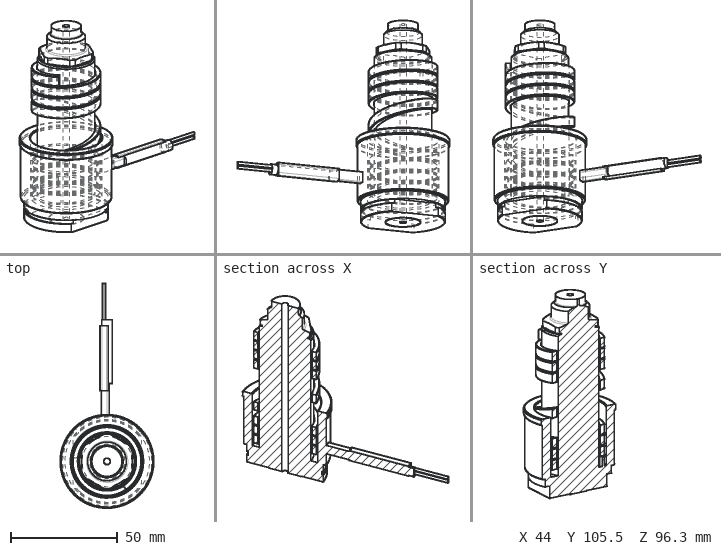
import cadquery as cq
import math


foot_radius, foot_height = 8.2, 0.2
base_radius, base_top = 19.8, 4.4
base_chamfer = 0.3
groove_radius, groove_top = 19.1, 6.3
flat_distance = 16.0

collar_radius = base_radius
cup_bottom, cup_radius, cup_chamfer = 10.1, 21.4, 0.5
rim_bottom, rim_top = 37.1, 40.4
rim_radius = 44.0 / 2
rim_chamfer = 0.5
bore_radius, bore_floor, bore_chamfer = 16.8, 10.8, 0.4

barrel_radius, barrel_top, barrel_chamfer = 13.5, 80.5, 0.7
neck_radius = 11.8
hex_bottom, hex_top = 80.8, 83.9
hex_across_flats, hex_corner_radius = 23.6, 13.0
shoulder_radius, shoulder_bottom, shoulder_top = 9.1, 84.8, 91.0
shoulder_fillet = 0.6
nose_radius, nose_cone_radius = 7.1, 7.6
nose_fillet = 0.5
nose_cone_top, total_height = 92.5, 96.3
through_hole_radius = 1.5

spring_outer_radius = 16.2
spring_inner_radius = 13.8
strip_height, strip_chamfer = 5.0, 0.3
closed_pitch, open_pitch = 5.4, 26.4
closed_turns = 3 + 13 / 360
transition_turns = 117 / 360
open_turns = 0.7
total_turns = 2 * (closed_turns + transition_turns) + open_turns
spring_end_angle, spring_end_height = -56.0, 74.4
steps_per_turn = 24

cable_height = 19.4
cable_x = -1.4
cable_width, cable_depth, cable_fillet = 2.7, 5.1, 0.3
second_cable_x, second_cable_fillet = -0.2, 1.2
sleeve_width, sleeve_depth, sleeve_fillet = 4.0, 6.0, 1.0
sleeve_start, sleeve_end = 33.2, 63.6
tube_radius, tube_start, tube_end = 2.5, 36.5, 66.5
wire_radius, wire_spacing = 0.7, 2.0
overall_length = 105.5
wire_end = overall_length - rim_radius


def disc(radius, bottom, top):
    return cq.Workplane("XY").workplane(offset=bottom).circle(radius).extrude(top - bottom)


def make_base():
    base = disc(base_radius, foot_height, base_top).faces("<Z").chamfer(base_chamfer)
    base = base.union(disc(groove_radius, base_top, groove_top))
    flats = cq.Workplane("XY").box(2 * flat_distance, 2 * base_radius, groove_top, (True, True, False))
    return base.intersect(flats).union(disc(foot_radius, 0, foot_height))


def make_cup():
    cup = disc(cup_radius, cup_bottom, rim_bottom).faces("<Z").chamfer(cup_chamfer)
    rim = disc(rim_radius, rim_bottom, rim_top).edges().chamfer(rim_chamfer)
    collar = disc(collar_radius, groove_top, cup_bottom)
    cup = cup.union(rim).union(collar).cut(disc(bore_radius, bore_floor, rim_top))
    bore_mouth = cq.Workplane("XY", origin=(0, 0, rim_top)).circle(bore_radius + bore_chamfer)
    return cup.cut(bore_mouth.extrude(-bore_chamfer, taper=45))


def make_barrel():
    barrel = disc(barrel_radius, bore_floor, barrel_top).faces(">Z").chamfer(barrel_chamfer)
    return barrel.union(disc(neck_radius, barrel_top, hex_bottom))


def make_nose():
    """Turned head whose lowest collar is trimmed to a hexagon with rounded corners."""
    fillet_root_radius = shoulder_radius + shoulder_fillet
    head = (
        cq.Workplane("XZ")
        .moveTo(0, hex_bottom)
        .lineTo(hex_corner_radius, hex_bottom)
        .lineTo(hex_corner_radius, hex_top)
        .lineTo(fillet_root_radius, shoulder_bottom)
        .radiusArc((shoulder_radius, shoulder_bottom + shoulder_fillet), shoulder_fillet)
        .lineTo(shoulder_radius, shoulder_top)
        .lineTo(nose_cone_radius, nose_cone_top)
        .radiusArc((nose_radius, nose_cone_top + nose_fillet), nose_fillet)
        .lineTo(nose_radius, total_height)
        .lineTo(0, total_height)
        .close()
        .revolve()
    )
    hexagon = (
        cq.Workplane("XY")
        .workplane(offset=hex_bottom)
        .polygon(6, hex_across_flats, circumscribed=True)
        .extrude(total_height - hex_bottom)
    )
    return head.intersect(hexagon)


def half_drop(turns):
    """Descent over the closed, transition and open coils of the upper half of the spring."""
    into_transition = min(max(turns - closed_turns, 0), transition_turns)
    into_open = max(turns - closed_turns - transition_turns, 0)
    pitch_slope = (open_pitch - closed_pitch) / transition_turns
    drop = closed_pitch * (min(turns, closed_turns) + into_transition)
    drop += pitch_slope * into_transition**2 / 2
    return drop + open_pitch * into_open


def spring_drop(turns):
    """Descent from the upper end; the lower half repeats the upper half upside down."""
    if turns <= total_turns / 2:
        return half_drop(turns)
    return 2 * half_drop(total_turns / 2) - half_drop(total_turns - turns)


def spring_edge(radius, rise):
    """Curve followed by one corner of the strip."""
    steps = round(total_turns * steps_per_turn)
    points = []
    for i in range(steps + 1):
        turns = total_turns * i / steps
        angle = math.radians(spring_end_angle - 360 * turns)
        height = spring_end_height - spring_drop(turns) + rise
        points.append(cq.Vector(radius * math.cos(angle), radius * math.sin(angle), height))
    return cq.Edge.makeSpline(points)


def make_spring():
    """Coiled strip around the barrel; its lower end is seated in the cup floor."""
    half = strip_height / 2
    corners = [
        (spring_inner_radius, -half),
        (spring_outer_radius - strip_chamfer, -half),
        (spring_outer_radius, strip_chamfer - half),
        (spring_outer_radius, half - strip_chamfer),
        (spring_outer_radius - strip_chamfer, half),
        (spring_inner_radius, half),
    ]
    edges = [spring_edge(radius, rise) for radius, rise in corners]
    following = edges[1:] + edges[:1]
    faces = [cq.Face.makeRuledSurface(a, b) for a, b in zip(edges, following)]
    for end in (0, 1):
        section = [edge.positionAt(end) for edge in edges]
        faces.append(cq.Face.makeFromWires(cq.Wire.makePolygon(section, close=True)))
    solid = cq.Solid.makeSolid(cq.Shell.makeShell(faces))
    return cq.Workplane("XY").add(solid.fix())


def bar(x, width, depth, fillet, start, end):
    """Rounded bar along Y at the cable height."""
    block = cq.Workplane("XY").box(width, end - start, depth).edges("|Y").fillet(fillet)
    return block.translate((x, (start + end) / 2, cable_height))


def rod(x, z, radius, start, end):
    """Round rod along Y."""
    return cq.Workplane("XZ", origin=(x, start, z)).circle(radius).extrude(start - end)


def make_cable():
    """Two flat cables, a sleeve, a tube and two bare wires behind the cup."""
    root = (bore_radius + cup_radius) / 2
    cable = bar(cable_x, cable_width, cable_depth, cable_fillet, root, sleeve_end)
    cable = cable.union(bar(second_cable_x, cable_width, cable_depth, second_cable_fillet, root, tube_start))
    cable = cable.union(bar(cable_x, sleeve_width, sleeve_depth, sleeve_fillet, sleeve_start, sleeve_end))
    cable = cable.union(rod(0, cable_height, tube_radius, tube_start, tube_end))
    for side in (-1, 1):
        wire_height = cable_height + side * wire_spacing / 2
        cable = cable.union(rod(cable_x, wire_height, wire_radius, tube_start, wire_end))
    return cable


through_hole = disc(through_hole_radius, 0, total_height)
result = (
    make_base()
    .union(make_cup())
    .union(make_barrel())
    .union(make_nose())
    .union(make_spring())
    .union(make_cable())
    .cut(through_hole)
)